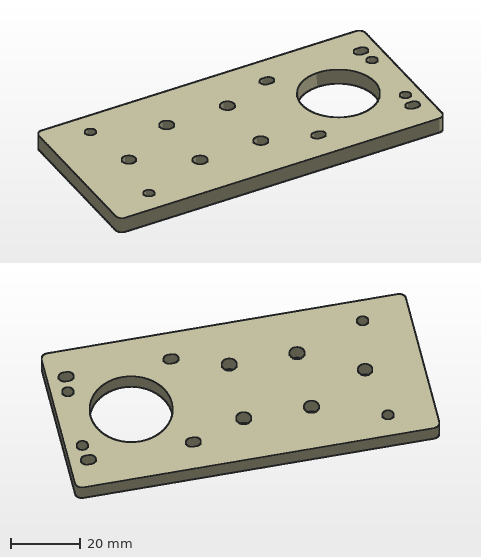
import cadquery as cq

width = 50.0
length = 107.5
thickness = 5.0
corner_radius = 2.0

bore_diameter = 24.0
bore_y = 32.2
slot_width = 3.3
slot_length = 4.4
slot_spacing = 31.0
slot_group_y = 32.7

small_diameter = 3.3
center_diameter = 4.2
square_diameter = 4.4

square_spacing = 20.0
square_y = -8.8
top_pair_y = 48.8
center_hole_y = -36.8
bottom_pair_spacing = 35.0
bottom_pair_y = -39.8


def cut_holes(body, points, diameter):
    """Cut round holes through the plate at the given XY points."""
    cutter = cq.Workplane("XY").pushPoints(points).circle(diameter / 2).extrude(thickness)
    return body.cut(cutter)


def mirrored_pair(spacing, y):
    """Two points at the same Y, equally far from the centre line."""
    return [(-spacing / 2, y), (spacing / 2, y)]


def square_pattern(spacing, y):
    """Four corners of a square centred on the centre line at Y."""
    return mirrored_pair(spacing, y - spacing / 2) + mirrored_pair(spacing, y + spacing / 2)


plate = cq.Workplane("XY").box(width, length, thickness, centered=(True, True, False))
plate = plate.edges("|Z").fillet(corner_radius)

plate = cut_holes(plate, [(0, bore_y)], bore_diameter)
plate = cut_holes(plate, mirrored_pair(square_spacing, top_pair_y), small_diameter)
plate = cut_holes(plate, square_pattern(square_spacing, square_y), square_diameter)
plate = cut_holes(plate, [(0, center_hole_y)], center_diameter)
plate = cut_holes(plate, mirrored_pair(bottom_pair_spacing, bottom_pair_y), small_diameter)

slots = (
    cq.Workplane("XY")
    .pushPoints(square_pattern(slot_spacing, slot_group_y))
    .slot2D(slot_length, slot_width, angle=90)
    .extrude(thickness)
)
result = plate.cut(slots)